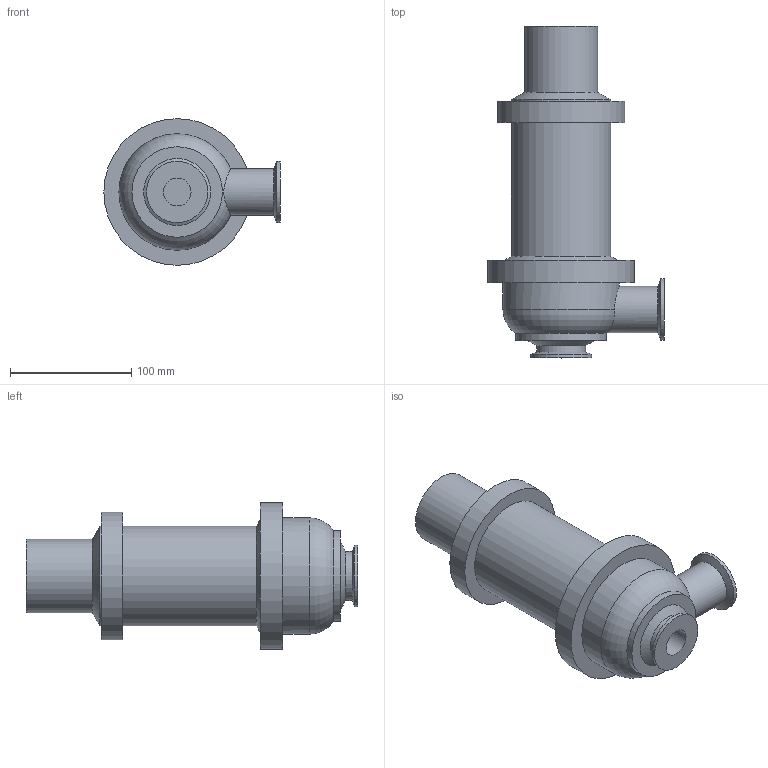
import cadquery as cq
import math


FERRULE_ANGLE = math.radians(20)
SHOULDER_ANGLE = math.radians(30)

ferrule_radius = 50.5 / 2
ferrule_rim = 2.85

neck_radius = 40.5 / 2
neck_end = 10.15
bore_radius = 23 / 2

collar_radius = 74.66 / 2
collar_start = 14.4
collar_end = 20.2
bore_depth = collar_end

head_radius = 96 / 2
dome_end = 40.0

main_flange_radius = 121 / 2
main_flange_start = 62.1
main_flange_end = 80.6
shoulder_height = 3.2

barrel_radius = 82 / 2
rear_flange_radius = 105 / 2
rear_flange_start = 194.2
rear_flange_end = 211.6
barrel_end = 212.9

pipe_radius = 60.5 / 2
pipe_end = 273.8

port_radius = 38.1 / 2
port_y = dome_end
port_reach = 85.0


def ferrule_taper(tube_radius):
    """Axial length of the cone between a tube and its ferrule rim."""
    return (ferrule_radius - tube_radius) * math.tan(FERRULE_ANGLE)


def shoulder_rise(outer_radius, inner_radius):
    """Axial length of a shoulder cone between two radii."""
    return (outer_radius - inner_radius) * math.tan(SHOULDER_ANGLE)


def dome_midpoint():
    """Middle of the dome arc, which is tangent to the head and ends on the collar edge."""
    inset = head_radius - collar_radius
    height = dome_end - collar_end
    arc_radius = (inset**2 + height**2) / (2 * inset)
    half_angle = math.asin(height / arc_radius) / 2
    x = head_radius - arc_radius * (1 - math.cos(half_angle))
    y = dome_end - arc_radius * math.sin(half_angle)
    return x, y


def make_body():
    """All coaxial stages as one half profile revolved about the Y axis."""
    neck_cone_radius = neck_radius + (collar_start - neck_end) / math.tan(SHOULDER_ANGLE)
    shoulder_radius = barrel_radius + shoulder_height / math.tan(SHOULDER_ANGLE)
    pipe_start = barrel_end + shoulder_rise(barrel_radius, pipe_radius)
    profile = (
        cq.Workplane("XY")
        .moveTo(0, 0)
        .lineTo(ferrule_radius, 0)
        .lineTo(ferrule_radius, ferrule_rim)
        .lineTo(neck_radius, ferrule_rim + ferrule_taper(neck_radius))
        .lineTo(neck_radius, neck_end)
        .lineTo(neck_cone_radius, collar_start)
        .lineTo(collar_radius, collar_start)
        .lineTo(collar_radius, collar_end)
        .threePointArc(dome_midpoint(), (head_radius, dome_end))
        .lineTo(head_radius, main_flange_start)
        .lineTo(main_flange_radius, main_flange_start)
        .lineTo(main_flange_radius, main_flange_end)
        .lineTo(shoulder_radius, main_flange_end)
        .lineTo(barrel_radius, main_flange_end + shoulder_height)
        .lineTo(barrel_radius, rear_flange_start)
        .lineTo(rear_flange_radius, rear_flange_start)
        .lineTo(rear_flange_radius, rear_flange_end)
        .lineTo(barrel_radius, rear_flange_end)
        .lineTo(barrel_radius, barrel_end)
        .lineTo(pipe_radius, pipe_start)
        .lineTo(pipe_radius, pipe_end)
        .lineTo(0, pipe_end)
        .close()
    )
    return profile.revolve(360, (0, 0, 0), (0, 1, 0))


def make_side_port():
    """Tube and ferrule along +X, starting on the main axis."""
    rim_start = port_reach - ferrule_rim
    profile = (
        cq.Workplane("XY")
        .moveTo(0, port_y)
        .lineTo(0, port_y + port_radius)
        .lineTo(rim_start - ferrule_taper(port_radius), port_y + port_radius)
        .lineTo(rim_start, port_y + ferrule_radius)
        .lineTo(port_reach, port_y + ferrule_radius)
        .lineTo(port_reach, port_y)
        .close()
    )
    return profile.revolve(360, (0, port_y, 0), (1, port_y, 0))


def make_bore():
    """Blind bore through the neck and collar from the inlet face."""
    return cq.Workplane("XZ").circle(bore_radius).extrude(-bore_depth)


result = make_body().union(make_side_port()).cut(make_bore())